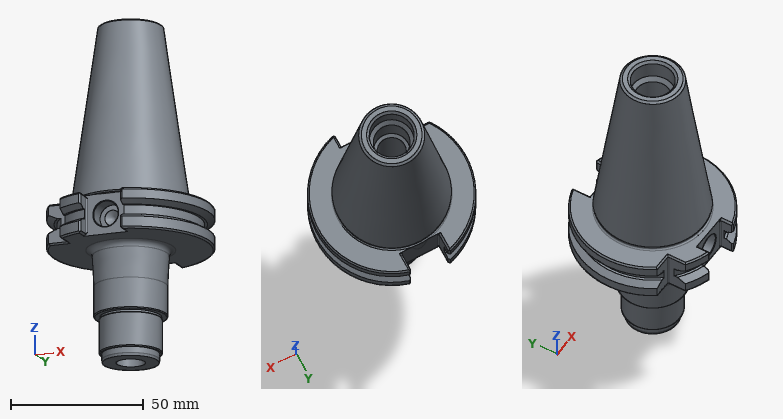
import cadquery as cq
import math

TOTAL_HEIGHT = 131.5

TAPER_SLOPE = 7 / 48
TAPER_TOP_RADIUS = 12.4
TAPER_BASE_Z = 61.8
TAPER_TOP_CHAMFER_WIDTH = 0.9
TAPER_TOP_CHAMFER_HEIGHT = 0.7

UNDERCUT_TOP_Z = 61.3
UNDERCUT_RADIUS = 22.1
UNDERCUT_FILLET = 0.7

FLANGE_RADIUS = 31.77
FLANGE_BOTTOM_Z = 44.1
FLANGE_TOP_Z = 60.0
RIM_CHAMFER = 0.7

GROOVE_CENTER_Z = 52.2
GROOVE_FLOOR_RADIUS = 27.9
GROOVE_FLOOR_WIDTH = 3.8
GROOVE_FLANK_RADIUS = 29.0
GROOVE_FLANK_ANGLE = 30

SLOT_WIDTH = 16.0
FRONT_SLOT_FLOOR = 25.0
BACK_SLOT_FLOOR = 22.5
SLOT_CHAMFER = 0.8
INNER_CORNER_FILLET = 0.5
NOTCH_OFFSET = 18.3

HOLE_Z = (FLANGE_BOTTOM_Z + FLANGE_TOP_Z) / 2
HOLE_DIAMETER = 10.0
HOLE_CHAMFER = 0.3
HOLE_DEPTH = 6.6
TIP_DIAMETER = 6.0
TIP_ANGLE = 118

NECK_TOP_RADIUS = 14.6
NECK_FILLET = 2.4
NECK_BOTTOM_Z = 29.7
COLLAR_RADIUS = 28.0 / 2
COLLAR_BOTTOM_Z = 17.8
PILOT_RADIUS = 24.0 / 2
PILOT_BOTTOM_Z = 3.4
RELIEF_WIDTH = 0.8
RELIEF_DEPTH = 0.3
SHANK_CHAMFER = 0.4
TIP_RADIUS = 22.0 / 2
TIP_CHAMFER_WIDTH = 0.3
TIP_CHAMFER_HEIGHT = 1.0

BORE_RADIUS = 11.0 / 2
SOCKET_MOUTH_RADIUS = 19.0 / 2
SOCKET_RADIUS = 17.0 / 2
SOCKET_DEPTH = 7.8
DRILL_RADIUS = 13.8 / 2
DRILL_DEPTH = 19.7
DRILL_TIP_ANGLE = 118


def revolve(outline):
    """Close an outline drawn in the (radius, Z) plane and turn it about Z."""
    return outline.close().revolve(360, (0, 0, 0), (0, 1, 0))


def make_taper():
    base_radius = TAPER_TOP_RADIUS + TAPER_SLOPE * (TOTAL_HEIGHT - TAPER_BASE_Z)
    shoulder_z = TOTAL_HEIGHT - TAPER_TOP_CHAMFER_HEIGHT
    shoulder_radius = TAPER_TOP_RADIUS + TAPER_SLOPE * TAPER_TOP_CHAMFER_HEIGHT
    fillet_z = FLANGE_TOP_Z + UNDERCUT_FILLET
    fillet_center_radius = UNDERCUT_RADIUS + UNDERCUT_FILLET
    mid = UNDERCUT_FILLET * math.sqrt(0.5)
    return revolve(
        cq.Workplane("XZ")
        .moveTo(0, FLANGE_BOTTOM_Z)
        .lineTo(UNDERCUT_RADIUS, FLANGE_BOTTOM_Z)
        .lineTo(fillet_center_radius, FLANGE_TOP_Z)
        .threePointArc((fillet_center_radius - mid, fillet_z - mid), (UNDERCUT_RADIUS, fillet_z))
        .lineTo(UNDERCUT_RADIUS, UNDERCUT_TOP_Z)
        .lineTo(base_radius, TAPER_BASE_Z)
        .lineTo(shoulder_radius, shoulder_z)
        .lineTo(TAPER_TOP_RADIUS - TAPER_TOP_CHAMFER_WIDTH, TOTAL_HEIGHT)
        .lineTo(0, TOTAL_HEIGHT)
    )


def make_shank():
    relief_bottom_z = COLLAR_BOTTOM_Z - RELIEF_WIDTH
    fillet_z = FLANGE_BOTTOM_Z - NECK_FILLET
    fillet_center_radius = NECK_TOP_RADIUS + NECK_FILLET
    mid = NECK_FILLET * math.sqrt(0.5)
    return revolve(
        cq.Workplane("XZ")
        .moveTo(0, 0)
        .lineTo(TIP_RADIUS - TIP_CHAMFER_WIDTH, 0)
        .lineTo(TIP_RADIUS, TIP_CHAMFER_HEIGHT)
        .lineTo(TIP_RADIUS, PILOT_BOTTOM_Z)
        .lineTo(PILOT_RADIUS - SHANK_CHAMFER, PILOT_BOTTOM_Z)
        .lineTo(PILOT_RADIUS, PILOT_BOTTOM_Z + SHANK_CHAMFER)
        .lineTo(PILOT_RADIUS, relief_bottom_z - RELIEF_DEPTH)
        .lineTo(PILOT_RADIUS - RELIEF_DEPTH, relief_bottom_z)
        .lineTo(PILOT_RADIUS - RELIEF_DEPTH, COLLAR_BOTTOM_Z)
        .lineTo(COLLAR_RADIUS - SHANK_CHAMFER, COLLAR_BOTTOM_Z)
        .lineTo(COLLAR_RADIUS, COLLAR_BOTTOM_Z + SHANK_CHAMFER)
        .lineTo(COLLAR_RADIUS, NECK_BOTTOM_Z)
        .lineTo(NECK_TOP_RADIUS, fillet_z)
        .threePointArc(
            (fillet_center_radius - mid, fillet_z + mid), (fillet_center_radius, FLANGE_BOTTOM_Z)
        )
        .lineTo(0, FLANGE_BOTTOM_Z)
    )


def make_slot(floor, side):
    """Cutter for a drive slot on the +Y (side = 1) or -Y (side = -1) part of the rim."""
    center_y = side * (floor + FLANGE_RADIUS / 2)
    return (
        cq.Workplane("XY", origin=(0, center_y, FLANGE_BOTTOM_Z))
        .rect(SLOT_WIDTH, FLANGE_RADIUS)
        .extrude(FLANGE_TOP_Z - FLANGE_BOTTOM_Z)
    )


def make_notch():
    return (
        cq.Workplane("XY", origin=(-NOTCH_OFFSET, -NOTCH_OFFSET, FLANGE_BOTTOM_Z))
        .rect(-FLANGE_RADIUS, -FLANGE_RADIUS, centered=False)
        .extrude(FLANGE_TOP_Z - FLANGE_BOTTOM_Z)
    )


def make_groove():
    flank_rise = (FLANGE_RADIUS - GROOVE_FLANK_RADIUS) * math.tan(math.radians(GROOVE_FLANK_ANGLE))
    floor_half = GROOVE_FLOOR_WIDTH / 2
    mouth_half = floor_half + flank_rise
    return revolve(
        cq.Workplane("XZ")
        .moveTo(GROOVE_FLOOR_RADIUS, GROOVE_CENTER_Z - floor_half)
        .lineTo(GROOVE_FLANK_RADIUS, GROOVE_CENTER_Z - floor_half)
        .lineTo(FLANGE_RADIUS, GROOVE_CENTER_Z - mouth_half)
        .lineTo(FLANGE_RADIUS, GROOVE_CENTER_Z + mouth_half)
        .lineTo(GROOVE_FLANK_RADIUS, GROOVE_CENTER_Z + floor_half)
        .lineTo(GROOVE_FLOOR_RADIUS, GROOVE_CENTER_Z + floor_half)
    )


def is_on_slot_wall(edge):
    """True for straight edges along a slot wall, including its vertical ends."""
    return edge.geomType() == "LINE" and math.isclose(abs(edge.Center().x), SLOT_WIDTH / 2, abs_tol=0.01)


def is_on_rim_or_notch(edge):
    """True for the arcs of the rim and the straight edges of the notch walls."""
    return edge.geomType() == "CIRCLE" or edge.Center().x < -SLOT_WIDTH


def is_inner_corner(edge):
    """True for the vertical edges where two slot walls or the two notch walls meet."""
    center = edge.Center()
    return math.hypot(center.x, center.y) < FLANGE_RADIUS - 2 * SLOT_CHAMFER


def make_flange():
    disc = (
        cq.Workplane("XY", origin=(0, 0, FLANGE_BOTTOM_Z))
        .circle(FLANGE_RADIUS)
        .extrude(FLANGE_TOP_Z - FLANGE_BOTTOM_Z)
        .cut(make_slot(FRONT_SLOT_FLOOR, -1))
        .cut(make_slot(BACK_SLOT_FLOOR, 1))
        .cut(make_notch())
    )
    end_edges = disc.faces("<Z or >Z").edges()
    rim_corners = disc.edges("|Z").filter(is_on_slot_wall).filter(lambda edge: not is_inner_corner(edge))
    slot_edges = end_edges.filter(is_on_slot_wall).vals() + rim_corners.vals()
    disc = disc.newObject(slot_edges).chamfer(SLOT_CHAMFER)
    disc = disc.faces("<Z or >Z").edges().filter(is_on_rim_or_notch).chamfer(RIM_CHAMFER)
    disc = disc.edges("|Z").filter(is_inner_corner).fillet(INNER_CORNER_FILLET)
    return disc.cut(make_groove())


def make_hole():
    """Chamfered blind hole with a conical centre in its floor, drilled along +Y."""
    radius = HOLE_DIAMETER / 2
    tip_radius = TIP_DIAMETER / 2
    tip_height = tip_radius / math.tan(math.radians(TIP_ANGLE / 2))
    return (
        cq.Workplane("XY", origin=(0, -FRONT_SLOT_FLOOR, HOLE_Z))
        .lineTo(radius + HOLE_CHAMFER, 0)
        .lineTo(radius, HOLE_CHAMFER)
        .lineTo(radius, HOLE_DEPTH)
        .lineTo(tip_radius, HOLE_DEPTH)
        .lineTo(0, HOLE_DEPTH + tip_height)
        .close()
        .revolve(360, (0, 0, 0), (0, 1, 0))
    )


def make_bore():
    mouth_bottom_z = TOTAL_HEIGHT - (SOCKET_MOUTH_RADIUS - SOCKET_RADIUS)
    socket_bottom_z = TOTAL_HEIGHT - SOCKET_DEPTH
    drill_top_z = socket_bottom_z - (SOCKET_RADIUS - DRILL_RADIUS)
    drill_bottom_z = TOTAL_HEIGHT - DRILL_DEPTH
    tip_height = (DRILL_RADIUS - BORE_RADIUS) / math.tan(math.radians(DRILL_TIP_ANGLE / 2))
    return revolve(
        cq.Workplane("XZ")
        .lineTo(BORE_RADIUS, 0)
        .lineTo(BORE_RADIUS, drill_bottom_z - tip_height)
        .lineTo(DRILL_RADIUS, drill_bottom_z)
        .lineTo(DRILL_RADIUS, drill_top_z)
        .lineTo(SOCKET_RADIUS, socket_bottom_z)
        .lineTo(SOCKET_RADIUS, mouth_bottom_z)
        .lineTo(SOCKET_MOUTH_RADIUS, TOTAL_HEIGHT)
        .lineTo(0, TOTAL_HEIGHT)
    )


body = make_flange().union(make_taper()).union(make_shank())
result = body.cut(make_hole()).cut(make_bore())